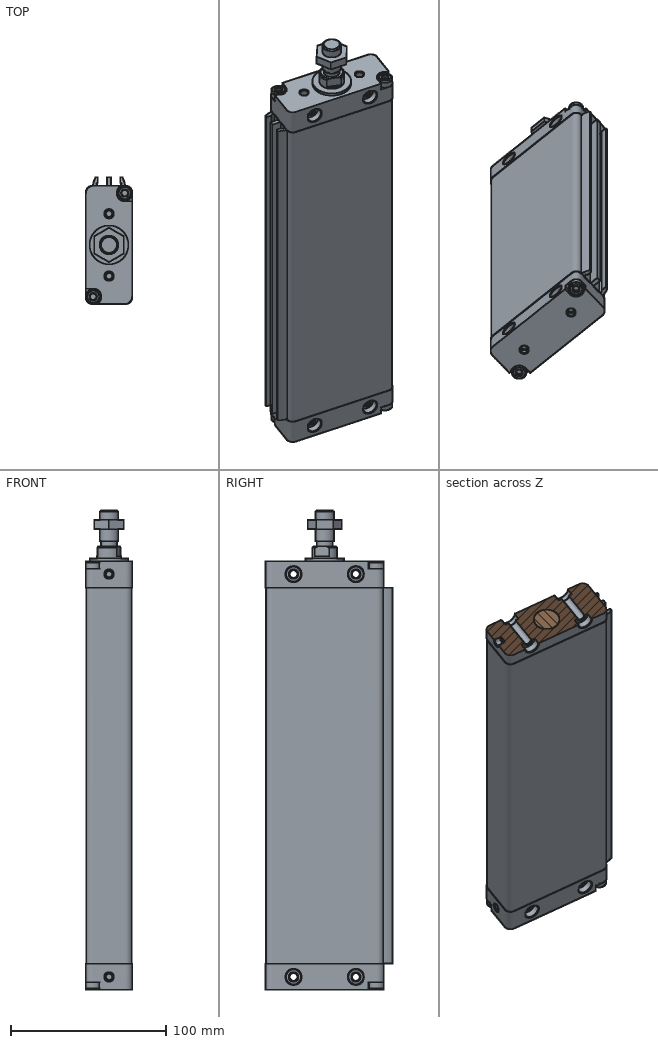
import cadquery as cq
import math

OVERALL_HEIGHT = 309.0
WIDTH = 30.0
DEPTH = 76.3
CORNER_RADIUS = 4.3
CAP_HEIGHT = 17.0
TOP_CAP_TOP = 276.2
BARREL_INSET = 0.3
BARREL_BOTTOM = CAP_HEIGHT
BARREL_TOP = TOP_CAP_TOP - CAP_HEIGHT

RAIL_HEIGHT = 5.5
CENTRE_RAIL_WIDTH = 2.8
RAIL_BASE_OUTER_X = 10.5
RAIL_MID_OUTER_X = 10.0
RAIL_TIP_OUTER_X = 8.5
RAIL_INNER_X = 7.0
RAIL_LIP_BOTTOM = 2.5
RAIL_UNDERCUT = 1.0

HOLE_OFFSET_Y = 20.0
MOUNT_HOLE_DIAMETER = 5.0
MOUNT_HOLE_MOUTH_DIAMETER = 6.2
MOUNT_BORE_DIAMETER = 9.5
MOUNT_BORE_MOUTH_DIAMETER = 10.5
MOUNT_BORE_DEPTH = 5.0
HOLE_EDGE_DISTANCE = 8.3
THREAD_DIAMETER = 5.0
THREAD_MOUTH_DIAMETER = 6.2
THREAD_DEPTH = 4.3
DRILL_DIAMETER = 4.0
DRILL_DEPTH = 5.3

SCREW_X = 10.2
SCREW_Y = 33.5
SCREW_HEAD_DIAMETER = 9.5
SCREW_HEAD_CHAMFER = 1.0
SCREW_POCKET_DIAMETER = 10.5
SCREW_POCKET_DEPTH = 5.0
SCREW_POCKET_INNER_X = 6.2
SOCKET_DIAMETER = 4.0
SOCKET_MOUTH_DIAMETER = 5.0
SOCKET_DEPTH = 2.5

COLLAR_DIAMETER = 25.0
COLLAR_HEIGHT = 2.0
ROD_DIAMETER = 16.0
ROD_SHOULDER_Z = 285.8
ROD_SHOULDER_CHAMFER = 1.0
NECK_DIAMETER = 10.5
THREAD_START_Z = 289.2
ROD_THREAD_DIAMETER = 12.0
ROD_TIP_CHAMFER = 1.0
FLATS_ACROSS = 13.0
FLATS_BOTTOM_Z = 279.3
FLATS_ANGLE = -15.0

NUT_ACROSS_FLATS = 19.2
NUT_BOTTOM_Z = 297.0
NUT_HEIGHT = 6.0
NUT_ANGLE = 30.0


def cylinder(diameter, bottom, top):
    """Upright cylinder on the Z axis."""
    return cq.Workplane("XY").workplane(offset=bottom).circle(diameter / 2).extrude(top - bottom)


def hexagon(across_flats, height):
    """Upright hexagonal prism standing on the XY plane."""
    return cq.Workplane("XY").polygon(6, across_flats / math.cos(math.pi / 6)).extrude(height)


def chamfered_hole(diameter, mouth_diameter, depth):
    """Blind hole tool pointing down from the origin, with a 45 degree mouth."""
    mouth_depth = (mouth_diameter - diameter) / 2
    return (
        cq.Workplane("XZ")
        .moveTo(0, 0)
        .lineTo(mouth_diameter / 2, 0)
        .lineTo(diameter / 2, -mouth_depth)
        .lineTo(diameter / 2, -depth)
        .lineTo(0, -depth)
        .close()
        .revolve(360, (0, 0, 0), (0, 1, 0))
    )


def rounded_block(bottom, height, inset=0):
    """Block with the rounded section of the caps, or that section moved in by an inset."""
    return (
        cq.Workplane("XY")
        .workplane(offset=bottom)
        .rect(WIDTH - 2 * inset, DEPTH - 2 * inset)
        .extrude(height)
        .edges("|Z")
        .fillet(CORNER_RADIUS - inset)
    )


def threaded_hole():
    """Tool for a blind thread with a chamfered mouth and a narrower tap drill below."""
    thread = chamfered_hole(THREAD_DIAMETER, THREAD_MOUTH_DIAMETER, THREAD_DEPTH)
    return thread.union(cylinder(DRILL_DIAMETER, -DRILL_DEPTH, 0))


def mount_hole():
    """Tool for one half of a mounting hole, counterbored at Z = 0 and reaching the middle of the cap."""
    bore = chamfered_hole(MOUNT_BORE_DIAMETER, MOUNT_BORE_MOUTH_DIAMETER, MOUNT_BORE_DEPTH)
    hole_length = WIDTH / 2 - MOUNT_BORE_DEPTH
    hole = chamfered_hole(MOUNT_HOLE_DIAMETER, MOUNT_HOLE_MOUTH_DIAMETER, hole_length)
    return bore.union(hole.translate((0, 0, -MOUNT_BORE_DEPTH)))


def screw_pocket():
    """Corner pocket tool for the (+X, +Y) corner, open to both side faces, hanging below Z = 0."""
    radius = SCREW_POCKET_DIAMETER / 2
    round_part = cq.Workplane("XY").center(SCREW_X, SCREW_Y).circle(radius)
    toward_x = cq.Workplane("XY").center(SCREW_X, SCREW_Y - radius).rect(WIDTH, DEPTH, centered=False)
    toward_y = cq.Workplane("XY").center(SCREW_POCKET_INNER_X, SCREW_Y).rect(WIDTH, DEPTH, centered=False)
    return (
        round_part.extrude(-SCREW_POCKET_DEPTH)
        .union(toward_x.extrude(-SCREW_POCKET_DEPTH))
        .union(toward_y.extrude(-SCREW_POCKET_DEPTH))
    )


def screw_head():
    """Socket screw head that stands in the (+X, +Y) pocket, flush with Z = 0."""
    head = cylinder(SCREW_HEAD_DIAMETER, -SCREW_POCKET_DEPTH, 0)
    head = head.faces(">Z").chamfer(SCREW_HEAD_CHAMFER)
    socket = chamfered_hole(SOCKET_DIAMETER, SOCKET_MOUTH_DIAMETER, SOCKET_DEPTH)
    return head.cut(socket).translate((SCREW_X, SCREW_Y, 0))


def make_cap():
    """Plain end cap with its outer face at Z = 0 and its body below."""
    cap = rounded_block(-CAP_HEIGHT, CAP_HEIGHT)

    for angle in (0, 180):
        cap = cap.cut(screw_pocket().rotate((0, 0, 0), (0, 0, 1), angle))
        cap = cap.union(screw_head().rotate((0, 0, 0), (0, 0, 1), angle))

    for hole_y in (-HOLE_OFFSET_Y, HOLE_OFFSET_Y):
        cap = cap.cut(threaded_hole().translate((0, hole_y, 0)))
        for side in (-1, 1):
            hole = mount_hole().rotate((0, 0, 0), (0, 1, 0), side * 90)
            cap = cap.cut(hole.translate((side * WIDTH / 2, hole_y, -HOLE_EDGE_DISTANCE)))

    port = threaded_hole().rotate((0, 0, 0), (1, 0, 0), 90)
    return cap.cut(port.translate((0, -DEPTH / 2, -HOLE_EDGE_DISTANCE)))


def make_bottom_cap():
    """Mirror image of the plain cap, so that port and screws keep their corners."""
    return make_cap().mirror("XY")


def make_top_cap():
    """Cap with the rod collar and the rod bore."""
    cap = make_cap().translate((0, 0, TOP_CAP_TOP))
    cap = cap.union(cylinder(COLLAR_DIAMETER, TOP_CAP_TOP, TOP_CAP_TOP + COLLAR_HEIGHT))
    return cap.cut(cylinder(ROD_DIAMETER, BARREL_TOP, TOP_CAP_TOP + COLLAR_HEIGHT))


def make_barrel():
    """Solid profile barrel with three rails that form two sensor slots."""
    length = BARREL_TOP - BARREL_BOTTOM
    base_y = DEPTH / 2 - BARREL_INSET
    tip_y = DEPTH / 2 + RAIL_HEIGHT
    lip_y = base_y + RAIL_LIP_BOTTOM
    section = cq.Workplane("XY").workplane(offset=BARREL_BOTTOM)
    centre_rail = section.center(0, tip_y - RAIL_HEIGHT).rect(CENTRE_RAIL_WIDTH, 2 * RAIL_HEIGHT).extrude(length)
    side_rail = (
        cq.Workplane("XY")
        .workplane(offset=BARREL_BOTTOM)
        .moveTo(RAIL_BASE_OUTER_X, base_y)
        .threePointArc((RAIL_MID_OUTER_X, (base_y + tip_y) / 2), (RAIL_TIP_OUTER_X, tip_y))
        .lineTo(RAIL_INNER_X, tip_y)
        .lineTo(RAIL_INNER_X, lip_y)
        .lineTo(RAIL_INNER_X + RAIL_UNDERCUT, lip_y - RAIL_UNDERCUT)
        .lineTo(RAIL_INNER_X, base_y)
        .close()
        .extrude(length)
    )
    barrel = rounded_block(BARREL_BOTTOM, length, BARREL_INSET).union(centre_rail)
    return barrel.union(side_rail).union(side_rail.mirror("YZ"))


def make_rod():
    """Piston rod with wrench flats, an undercut neck and a threaded end."""
    shank = cylinder(ROD_DIAMETER, BARREL_TOP, ROD_SHOULDER_Z)
    shank = shank.faces(">Z").chamfer(ROD_SHOULDER_CHAMFER)
    flats_height = ROD_SHOULDER_Z - FLATS_BOTTOM_Z
    for side in (-1, 1):
        cutter = (
            cq.Workplane("XY")
            .workplane(offset=FLATS_BOTTOM_Z)
            .center(side * (FLATS_ACROSS + ROD_DIAMETER) / 2, 0)
            .rect(ROD_DIAMETER, 2 * ROD_DIAMETER)
            .extrude(flats_height)
            .rotate((0, 0, 0), (0, 0, 1), FLATS_ANGLE)
        )
        shank = shank.cut(cutter)
    neck = cylinder(NECK_DIAMETER, ROD_SHOULDER_Z, THREAD_START_Z)
    tip = cylinder(ROD_THREAD_DIAMETER, THREAD_START_Z, OVERALL_HEIGHT).faces(">Z").chamfer(ROD_TIP_CHAMFER)
    return shank.union(neck).union(tip)


def make_nut():
    """Hexagonal lock nut on the rod thread."""
    nut = hexagon(NUT_ACROSS_FLATS, NUT_HEIGHT).rotate((0, 0, 0), (0, 0, 1), NUT_ANGLE)
    nut = nut.translate((0, 0, NUT_BOTTOM_Z))
    return nut.cut(cylinder(ROD_THREAD_DIAMETER, NUT_BOTTOM_Z, NUT_BOTTOM_Z + NUT_HEIGHT))


bottom_cap = make_bottom_cap()
barrel = make_barrel()
top_cap = make_top_cap()
rod = make_rod()
nut = make_nut()

result = cq.Compound.makeCompound(
    [bottom_cap.val(), barrel.val(), top_cap.val(), rod.val(), nut.val()]
)